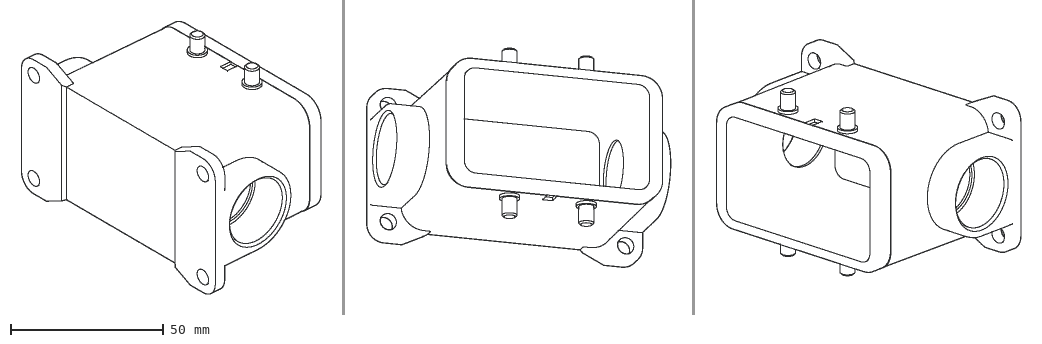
import cadquery as cq


depth = 56.9
base_y = 1.0
base_half_x = 36.7
base_half_z = 21.9
body_corner = 7.9
draft_angle = 0.37
wall = 3.3

rim_height = 5.2
rim_y = depth - rim_height
rim_half_x = 36.6
rim_half_z = 21.4
rim_corner = 7.2
rim_edge = 0.3

half_length = 47.0
foot_thickness = 4.5
foot_half_z = 26.0
foot_inner_x = 26.3
foot_shoulder_x = 34.9
foot_corner = 5.9
shoulder_round = 0.9
foot_edge = 0.5
relief_width = 1.2
screw_hole_d = 5.5
screw_x = 41.0
screw_z = 20.0

entry_y = 19.0
entry_r = 14.9
entry_edge = 0.5
bore_r = 11.75
bore_depth = 14.1
entry_lip = 0.9
bore_chamfer = 0.9
entry_hole_r = 10.5
cavity_half_x = half_length - bore_depth - entry_lip

pin_x = 13.3
pin_y = 47.4
pin_r = 2.49
pin_tip_z = 28.8
pin_chamfer = 0.6
collar_r = 3.34
collar_top_z = 22.6

notch_width = 3.4
notch_length = 4.7
notch_depth = 0.9


def y_plane(y):
    """Workplane at height y whose local axes are +Z, +X and whose normal is +Y."""
    return cq.Workplane(cq.Plane(origin=(0, y, 0), xDir=(0, 0, 1), normal=(0, 1, 0)))


def rounded_prism(y, half_x, half_z, corner, height, taper=0):
    """Block with rounded corners rising from height y, narrowing by the taper angle."""
    outline = cq.Sketch().rect(2 * half_z, 2 * half_x).vertices().fillet(corner)
    return y_plane(y).placeSketch(outline).extrude(height, taper=taper)


def both_ends(feature):
    """The feature at -X together with its mirror image at +X."""
    return feature.union(feature.mirror("YZ"))


def make_body():
    """Drafted solid block topped by the rim."""
    body = rounded_prism(base_y, base_half_x, base_half_z, body_corner, rim_y - base_y, draft_angle)
    rim = rounded_prism(rim_y, rim_half_x, rim_half_z, rim_corner, rim_height)
    return body.union(rim.faces(">Y").edges().fillet(rim_edge))


def make_cavity():
    """Connector space, open at the rim."""
    return rounded_prism(
        base_y + wall, cavity_half_x, rim_half_z - wall, rim_corner - wall, depth - base_y - wall
    )


def make_foot():
    """Tapered foot plate at -X, relieved along the lower inner edge."""
    outline = [
        (-base_half_z, -foot_inner_x),
        (-foot_half_z, -foot_shoulder_x),
        (-foot_half_z, -half_length),
        (foot_half_z, -half_length),
        (foot_half_z, -foot_shoulder_x),
        (base_half_z, -foot_inner_x),
    ]
    foot = y_plane(0).polyline(outline).close().extrude(foot_thickness)
    foot = foot.edges("|Y and <X").fillet(foot_corner)
    corner_end_x = -half_length + foot_corner
    region_start = ((corner_end_x - foot_shoulder_x) / 2, 0, -2 * foot_half_z)
    region_end = (-foot_inner_x - relief_width, foot_thickness, 2 * foot_half_z)
    shoulders = cq.selectors.BoxSelector(region_start, region_end)
    foot = foot.edges("|Y").edges(shoulders).fillet(shoulder_round)
    foot = foot.faces(">Y").edges().fillet(foot_edge)
    relief = (
        cq.Workplane("XY")
        .polyline([(-foot_inner_x, 0), (-foot_inner_x, base_y), (-foot_inner_x - relief_width, 0)])
        .close()
        .extrude(foot_half_z, both=True)
    )
    return foot.cut(relief)


def make_screw_holes():
    corners = [(z, x) for z in (-screw_z, screw_z) for x in (-screw_x, screw_x)]
    return y_plane(0).pushPoints(corners).circle(screw_hole_d / 2).extrude(foot_thickness)


def make_entry():
    """Half-round cable boss at -X with straight sides down to the foot."""
    boss = (
        cq.Workplane("YZ", origin=(-half_length, 0, 0))
        .moveTo(0, -entry_r)
        .lineTo(entry_y, -entry_r)
        .threePointArc((entry_y + entry_r, 0), (entry_y, entry_r))
        .lineTo(0, entry_r)
        .close()
        .extrude(half_length - cavity_half_x)
    )
    return boss.faces("<X").edges("not <Y").fillet(entry_edge)


def make_bore():
    """Chamfered counterbore at -X, ending in a smaller hole into the cavity."""
    mouth_r = bore_r + bore_chamfer
    inner_x = -cavity_half_x + entry_lip
    bore_end_x = -half_length + bore_depth
    profile = [
        (-half_length, 0),
        (-half_length, mouth_r),
        (-half_length + bore_chamfer, bore_r),
        (bore_end_x, bore_r),
        (bore_end_x, entry_hole_r),
        (inner_x, entry_hole_r),
        (inner_x, 0),
    ]
    axis_plane = cq.Workplane("XY", origin=(0, entry_y, 0))
    return axis_plane.polyline(profile).close().revolve(360, (0, 0, 0), (1, 0, 0))


def make_pins():
    """Collared pins on the +Z side, rooted in the side wall."""
    root_z = rim_half_z - wall / 2
    spots = [(-pin_x, pin_y), (pin_x, pin_y)]
    root = cq.Workplane("XY", origin=(0, 0, root_z)).pushPoints(spots)
    pins = root.circle(pin_r).extrude(pin_tip_z - root_z).faces(">Z").edges().chamfer(pin_chamfer)
    return pins.union(root.circle(collar_r).extrude(collar_top_z - root_z))


def make_notch():
    """Shallow pocket in the +Z side, ending against the rim."""
    floor_z = rim_half_z - notch_depth
    floor = cq.Workplane("XY", origin=(0, rim_y - notch_length, floor_z))
    return floor.box(notch_width, notch_length, base_half_z - floor_z, centered=(True, False, False))


pins = make_pins()
notch = make_notch()

result = make_body().union(both_ends(make_foot())).union(both_ends(make_entry()))
result = result.cut(make_cavity()).cut(both_ends(make_bore())).cut(make_screw_holes())
result = result.union(pins).union(pins.mirror("XY"))
result = result.cut(notch).cut(notch.mirror("XY"))